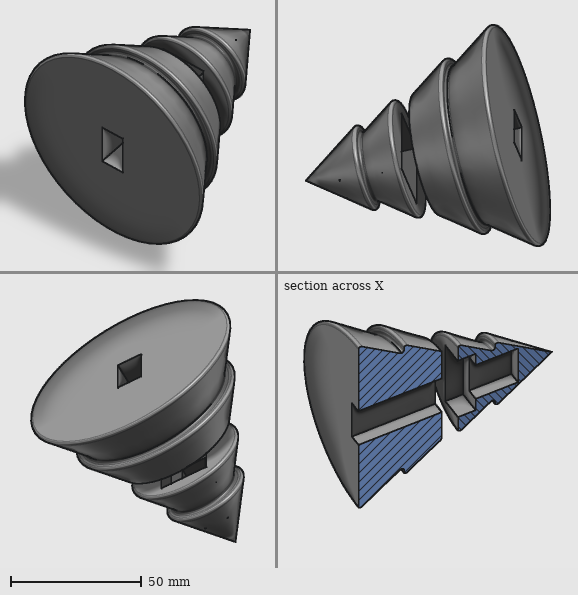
import cadquery as cq
import math

CONE_ANGLE = math.radians(35.0)
EDGE_ROUND = 1.0
NECK_LENGTH = 1.4
TIP_Y = 85.0

BASE_RIM_Y, BASE_RIM_RADIUS = 0.0, 43.4
SECOND_RIM_Y, SECOND_RIM_RADIUS = 19.95, 34.45
THIRD_RIM_Y, THIRD_RIM_RADIUS = 43.6, 23.1
TOP_RIM_Y = 59.95
LOWER_BACK_Y = 36.6

SLOT_WIDTH = 10.15
SLOT_HEIGHT = 17.9
SLOT_END_Y = 70.0

POCKET_WIDTH = 19.6
POCKET_HEIGHT = 30.0
POCKET_END_Y = 51.45


def sharp_rim_radius(rim_radius):
    """Radius of the sharp rim corner that rounds down to rim_radius."""
    corner_offset = EDGE_ROUND * (1 / math.cos(CONE_ANGLE) + math.tan(CONE_ANGLE))
    return rim_radius - EDGE_ROUND + corner_offset


def tier(rim_y, rim_radius, end_y):
    """Profile points of one cone, from its rim corner to its small end."""
    large_radius = sharp_rim_radius(rim_radius)
    small_radius = large_radius - (end_y - rim_y) * math.tan(CONE_ANGLE)
    return [(large_radius, rim_y), (small_radius, end_y)]


def revolve_rounded(front_y, outline, back_y):
    """Revolve an outline about the Y axis and round all its circular edges."""
    points = [(0, front_y)] + outline + [(0, back_y)]
    solid = cq.Workplane("ZY").polyline(points).close().revolve(360, (0, 0), (0, 1))
    return solid.edges("%CIRCLE").fillet(EDGE_ROUND)


def rectangular_cutter(width, height, start_y, end_y):
    """Box centred on the Y axis between two Y positions."""
    length = end_y - start_y
    return cq.Workplane("XY").box(width, length, height).translate((0, start_y + length / 2, 0))


def make_lower_body():
    """Two lower tiers with the trunk slot through them."""
    base_tier = tier(BASE_RIM_Y, BASE_RIM_RADIUS, SECOND_RIM_Y - NECK_LENGTH)
    neck_root = (base_tier[-1][0], SECOND_RIM_Y)
    second_tier = tier(SECOND_RIM_Y, SECOND_RIM_RADIUS, LOWER_BACK_Y)
    body = revolve_rounded(BASE_RIM_Y, base_tier + [neck_root] + second_tier, LOWER_BACK_Y)
    return body.cut(rectangular_cutter(SLOT_WIDTH, SLOT_HEIGHT, BASE_RIM_Y, LOWER_BACK_Y))


def make_upper_body():
    """Third tier and pointed top, with the stepped blind recess in the front face."""
    third_tier = tier(THIRD_RIM_Y, THIRD_RIM_RADIUS, TOP_RIM_Y - NECK_LENGTH)
    neck_root = (third_tier[-1][0], TOP_RIM_Y)
    top_corner = ((TIP_Y - TOP_RIM_Y) * math.tan(CONE_ANGLE), TOP_RIM_Y)
    body = revolve_rounded(THIRD_RIM_Y, third_tier + [neck_root, top_corner], TIP_Y)
    body = body.cut(rectangular_cutter(POCKET_WIDTH, POCKET_HEIGHT, THIRD_RIM_Y, POCKET_END_Y))
    return body.cut(rectangular_cutter(SLOT_WIDTH, SLOT_HEIGHT, THIRD_RIM_Y, SLOT_END_Y))


lower_body = make_lower_body()
upper_body = make_upper_body()
result = cq.Compound.makeCompound([lower_body.solids().val(), upper_body.solids().val()])